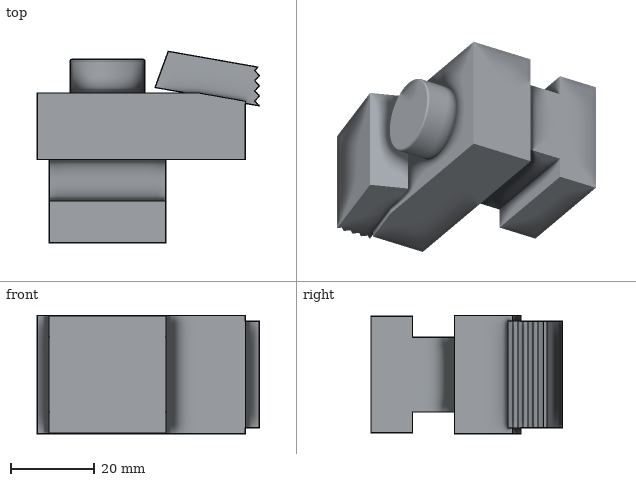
import cadquery as cq
import math


overall_length = 53.35
body_length = 50.0
body_depth = 16.0
body_height = 28.4

foot_width = 28.0
foot_depth = 10.05
foot_offset = 2.9
neck_depth = 10.0
neck_height = 18.0

head_diameter = 18.0
head_length = 8.05
head_edge_radius = 0.5

tilt = math.radians(10)
back_angle = math.radians(20)
ramp_start = 38.45
jaw_height = 25.6
jaw_back_x = 28.3
jaw_back_length = 9.3
tooth_count = 4
tooth_pitch = 2.43
tooth_depth = 1.1

body_front = foot_depth + neck_depth
body_back = body_front + body_depth
overall_depth = 46.0
screw_x = foot_offset + foot_width / 2


def extruded_outline(points, height):
    """Extrude an XY outline equally to both sides of the mid-plane."""
    return cq.Workplane("XY").polyline(points).close().extrude(height / 2, both=True)


def block(x, y, width, depth, height):
    """Box with its low X, low Y corner at (x, y), centred on Z."""
    return cq.Workplane("XY").box(width, depth, height, centered=(False, False, True)).translate((x, y, 0))


def make_body():
    ramp_drop = (body_length - ramp_start) * math.tan(tilt)
    return extruded_outline(
        [
            (0, body_front),
            (body_length, body_front),
            (body_length, body_back - ramp_drop),
            (ramp_start, body_back),
            (0, body_back),
        ],
        body_height,
    )


def make_foot():
    foot = block(foot_offset, 0, foot_width, foot_depth, foot_width)
    neck = block(foot_offset, foot_depth, foot_width, neck_depth, neck_height)
    return foot.union(neck)


def make_head():
    head = cq.Workplane("XZ", origin=(screw_x, body_back, 0)).circle(head_diameter / 2).extrude(-head_length)
    return head.faces(">Y").edges().fillet(head_edge_radius)


def make_jaw():
    slope = math.tan(tilt)
    top_x = jaw_back_x + jaw_back_length * math.sin(back_angle)
    bottom_y = overall_depth - jaw_back_length * math.cos(back_angle)
    tip_y = bottom_y - (overall_length - jaw_back_x) * slope

    teeth = []
    for i in range(tooth_count):
        y = tip_y + i * tooth_pitch
        teeth.append((overall_length, y))
        teeth.append((overall_length - tooth_depth, y + tooth_pitch / 2))

    valley_x, valley_y = teeth[-1]
    flank = tooth_pitch / 2 / tooth_depth
    top_y_at_valley = overall_depth - (valley_x - top_x) * slope
    run = (top_y_at_valley - valley_y) / (flank + slope)
    cut_tip = (valley_x + run, valley_y + run * flank)

    outline = [(jaw_back_x, bottom_y)] + teeth + [cut_tip, (top_x, overall_depth)]
    return extruded_outline(outline, jaw_height)


result = make_body().union(make_foot()).union(make_head()).union(make_jaw())